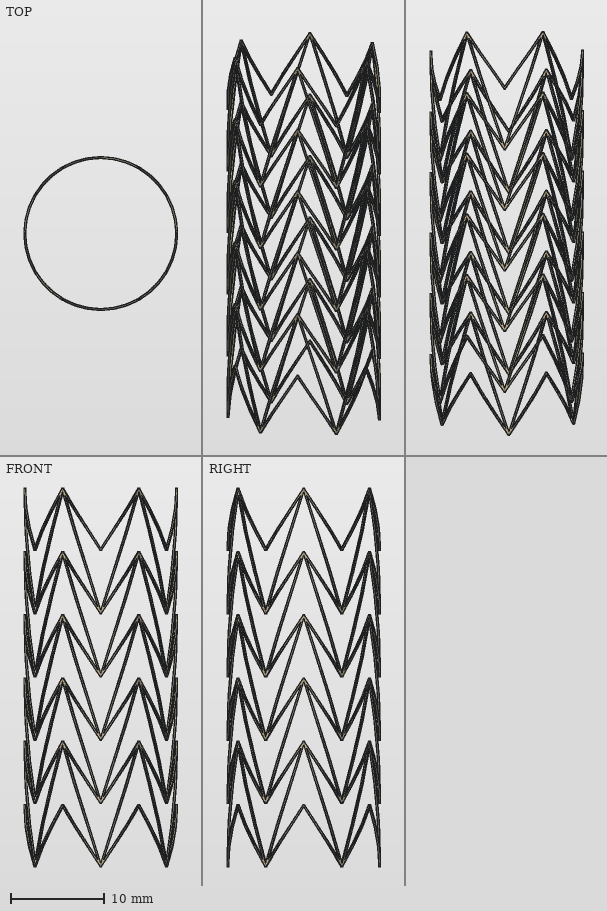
import cadquery as cq
import math

height = 40.55
outer_diameter = 16.45
inner_diameter = 16.05
strut_width = 0.2
peak_count = 6
ring_count = 6
link_rise = 13.25

outer_radius = outer_diameter / 2
inner_radius = inner_diameter / 2
sector_angle = 180 / peak_count
half_sector_tangent = math.tan(math.radians(sector_angle / 2))
strut_run = outer_radius * math.radians(sector_angle)
first_valley_angle = -90


def half_thickness(rise):
    """Half the thickness along Z of a strut that climbs `rise` over one sector."""
    return strut_width / 2 * math.hypot(rise, strut_run) / strut_run


tip_reach = strut_width / 2
ring_pitch = (height - link_rise - 2 * tip_reach) / (ring_count - 2)
ring_rise = link_rise - ring_pitch

wall_clearance = 0.4
near_distance = inner_radius - wall_clearance
far_distance = outer_radius + wall_clearance


def strut_outline(valley_z, rise):
    """Strut outline as (position across the sector from -1 to 1, z) points, with flat tips."""
    crotch_reach = half_thickness(rise)
    flat_span = 2 * (crotch_reach - tip_reach) / rise
    peak_z = valley_z + rise
    return [
        (-1, valley_z + crotch_reach),
        (-1, valley_z - tip_reach),
        (-1 + flat_span, valley_z - tip_reach),
        (1, peak_z - crotch_reach),
        (1, peak_z + tip_reach),
        (1 - flat_span, peak_z + tip_reach),
    ]


def radial_strut(outline):
    """Solid that widens away from the Z axis so that its ends are radial planes."""
    wires = []
    for distance in (near_distance, far_distance):
        half_width = distance * half_sector_tangent
        corners = [cq.Vector(distance, side * half_width, z) for side, z in outline]
        wires.append(cq.Wire.makePolygon(corners, close=True))
    return cq.Solid.makeLoft(wires, True)


def sector_struts():
    """All the struts between one column of valleys and the next column of peaks."""
    valley_heights = [tip_reach + ring * ring_pitch for ring in range(ring_count)]
    outlines = [strut_outline(valley_z, ring_rise) for valley_z in valley_heights]
    outlines += [strut_outline(valley_z, link_rise) for valley_z in valley_heights[:-1]]

    struts = [radial_strut(outline) for outline in outlines]
    return struts[0].fuse(*struts[1:]).clean()


rising = cq.Workplane(sector_struts()).rotate((0, 0, 0), (0, 0, 1), sector_angle / 2)
wall = cq.Workplane("XY").circle(outer_radius).circle(inner_radius).extrude(height)
full_vs = rising.union(rising.mirror("XZ"), clean=False, glue=True)
v_column = full_vs.intersect(wall, clean=False)

columns = []
for column in range(peak_count):
    angle = first_valley_angle + column * 2 * sector_angle
    columns.append(v_column.rotate((0, 0, 0), (0, 0, 1), angle).solids().val())
stent = columns[0].fuse(*columns[1:], glue=True)
result = cq.Workplane(stent).solids()